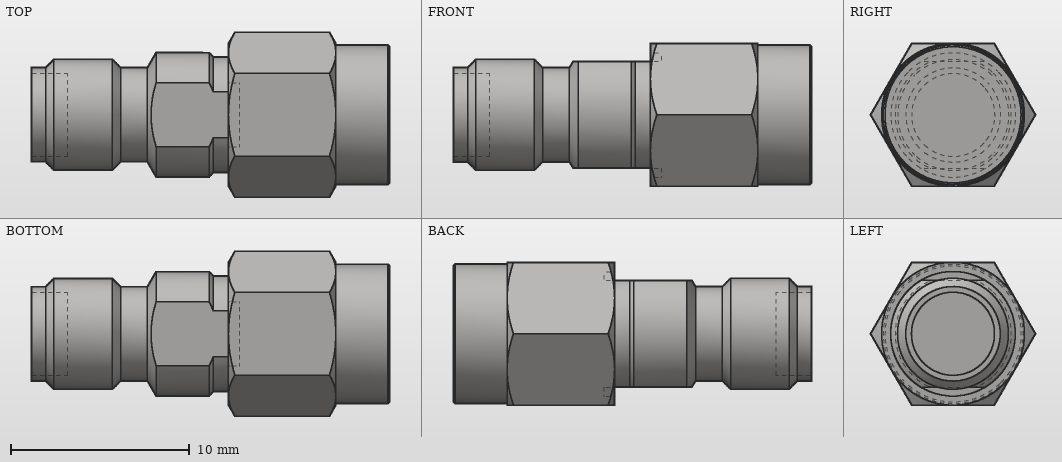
import cadquery as cq
import math

length = 20.05
collar_start = 0.8
collar_end = 5.0
body_start = 6.5
body_end = 10.19
nut_start = 11.03
nut_end = 17.05

barrel_radius = 2.65
collar_radius = 3.1
body_radius = 3.49
neck_radius = 3.25
sleeve_radius = 3.9

collar_chamfer = collar_radius - barrel_radius
body_cone_angle = 60.0
body_cone_length = (body_radius - barrel_radius) / math.tan(math.radians(body_cone_angle))
body_rear_chamfer = body_radius - neck_radius
sleeve_chamfer = 0.1
nut_chamfer_angle = 30.0

nut_across_flats = 8.0
nut_across_corners = nut_across_flats / math.cos(math.radians(30))

flat_to_flat = 5.97
flat_depth_in_nut = 0.6
flat_end = nut_start + flat_depth_in_nut

bore_radius = 2.33
bore_depth = 2.0


def revolve_about_x(profile):
    """Turn a closed half profile of (x, radius) points about the X axis."""
    return cq.Workplane("XY").polyline(profile).close().revolve(360, (0, 0, 0), (1, 0, 0))


def make_turned_core():
    """Barrel, collar, body, neck and rear sleeve; the nut encloses the front of the sleeve."""
    return revolve_about_x([
        (0, 0),
        (0, barrel_radius),
        (collar_start, barrel_radius),
        (collar_start + collar_chamfer, collar_radius),
        (collar_end - collar_chamfer, collar_radius),
        (collar_end, barrel_radius),
        (body_start, barrel_radius),
        (body_start + body_cone_length, body_radius),
        (body_end - body_rear_chamfer, body_radius),
        (body_end, neck_radius),
        (nut_start, neck_radius),
        (nut_start, sleeve_radius),
        (length - sleeve_chamfer, sleeve_radius),
        (length, sleeve_radius - sleeve_chamfer),
        (length, 0),
    ])


def make_nut():
    """Hexagon whose corners are trimmed by a cone at each end."""
    hexagon = (
        cq.Workplane("YZ", origin=(nut_start, 0, 0))
        .polygon(6, nut_across_corners)
        .extrude(nut_end - nut_start)
    )
    face_radius = nut_across_flats / 2
    corner_radius = nut_across_corners / 2
    chamfer_length = (corner_radius - face_radius) * math.tan(math.radians(nut_chamfer_angle))
    envelope = revolve_about_x([
        (nut_start, 0),
        (nut_start, face_radius),
        (nut_start + chamfer_length, corner_radius),
        (nut_end - chamfer_length, corner_radius),
        (nut_end, face_radius),
        (nut_end, 0),
    ])
    return hexagon.intersect(envelope)


def make_flat_cutters():
    """Circular segments above and below the flats, bounded by the body radius."""
    cut_length = flat_end - body_start
    cylinder = cq.Workplane("YZ", origin=(body_start, 0, 0)).circle(body_radius).extrude(cut_length)
    kept_slab = (
        cq.Workplane("YZ", origin=(body_start, 0, 0))
        .rect(2 * body_radius, flat_to_flat)
        .extrude(cut_length)
    )
    return cylinder.cut(kept_slab)


def make_bore():
    """Cylinder that opens the barrel end down to a flat floor."""
    return cq.Workplane("YZ").circle(bore_radius).extrude(bore_depth)


result = make_turned_core().union(make_nut()).cut(make_flat_cutters()).cut(make_bore())